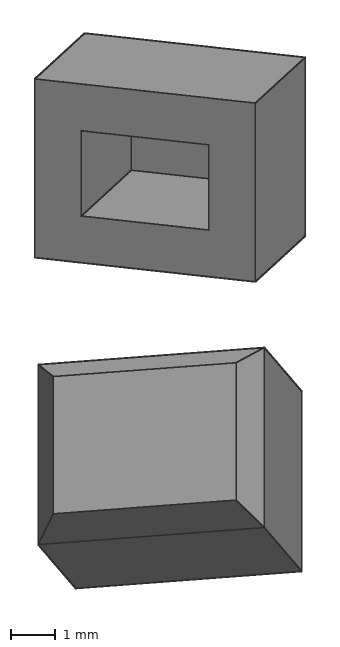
import cadquery as cq

width = 5.2
depth = 4.0
height = 4.2

taper_length = 0.6
taper_inset = 0.5
body_depth = depth - taper_length

pocket_width = 3.0
pocket_height = 2.0
pocket_depth = body_depth


def make_body():
    """Straight block with its front face on Y = 0."""
    return cq.Workplane("XY").box(width, body_depth, height, centered=(True, False, True))


def make_tapered_end():
    """Four-sided frustum narrowing equally on all sides toward +Y."""
    return (
        cq.Workplane("XZ", origin=(0, body_depth, 0))
        .rect(width, height)
        .workplane(offset=-taper_length)
        .rect(width - 2 * taper_inset, height - 2 * taper_inset)
        .loft(ruled=True)
    )


def make_pocket():
    return cq.Workplane("XY").box(
        pocket_width, pocket_depth, pocket_height, centered=(True, False, True)
    )


result = make_body().union(make_tapered_end()).cut(make_pocket())